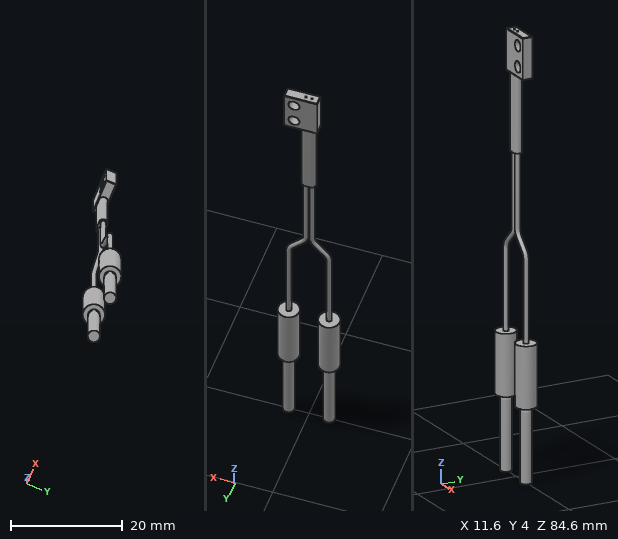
import cadquery as cq
import math

total_length = 84.6
total_width = 11.64

block_width = 6.3
block_depth = 2.0
block_height = 8.0
block_left = -1.9
block_edge = 0.1
hole_diameter = 2.1
hole_spacing = 4.0
hole_x = 2.5

conductor_diameter = 0.25
conductor_recess = 0.5

sleeve_length = 15.0
sleeve_depth = 1.6

wire_diameter = 1.0
wire_spacing = 1.2
pair_length = 14.35
bend_radius = 2.2
bend_angle = math.radians(45)

plug_body_diameter = 4.0
plug_body_length = 12.0
neck_diameter = 2.1
neck_length = 0.6
pin_diameter = 2.2
pin_length = 13.9
shoulder_height = 0.2
overlap = 0.5

plug_x = (total_width - plug_body_diameter) / 2
wire_x = wire_spacing / 2
top_z = total_length / 2
block_bottom_z = top_z - block_height
sleeve_bottom_z = block_bottom_z - sleeve_length
bend_start_z = sleeve_bottom_z - pair_length
pin_bottom_z = -total_length / 2
neck_bottom_z = pin_bottom_z + pin_length
body_bottom_z = neck_bottom_z + neck_length
body_top_z = body_bottom_z + plug_body_length


def make_block():
    """Sensor block with its two cross holes and the conductor holes in its top face."""
    block = cq.Workplane("XY", origin=(block_left, 0, block_bottom_z)).box(
        block_width, block_depth, block_height, centered=(False, True, False)
    )
    block = block.edges("#Z").chamfer(block_edge)
    holes = (
        cq.Workplane("XZ", origin=(hole_x, 0, top_z - block_height / 2))
        .rarray(1, hole_spacing, 1, 2)
        .circle(hole_diameter / 2)
        .extrude(block_depth, both=True)
    )
    conductors = (
        cq.Workplane("XY", origin=(0, 0, top_z))
        .rarray(wire_spacing, 1, 2, 1)
        .circle(conductor_diameter / 2)
        .extrude(-conductor_recess)
    )
    return block.cut(holes).cut(conductors)


def make_sleeve():
    """Flat sleeve with rounded sides, hanging below the block."""
    return (
        cq.Workplane("XY", origin=(0, 0, sleeve_bottom_z))
        .slot2D(wire_spacing + sleeve_depth, sleeve_depth)
        .extrude(sleeve_length)
    )


def make_wire(side):
    """Wire from inside the sleeve, through an outward S-bend, into the plug body."""
    bend_out = bend_radius * (1 - math.cos(bend_angle))
    bend_drop = bend_radius * math.sin(bend_angle)
    half_out = bend_radius * (1 - math.cos(bend_angle / 2))
    half_drop = bend_radius * math.sin(bend_angle / 2)
    slant_drop = (plug_x - wire_x - 2 * bend_out) / math.tan(bend_angle)
    bend_end_z = bend_start_z - 2 * bend_drop - slant_drop
    start_z = sleeve_bottom_z + overlap

    path = (
        cq.Workplane("XZ")
        .moveTo(side * wire_x, start_z)
        .lineTo(side * wire_x, bend_start_z)
        .threePointArc(
            (side * (wire_x + half_out), bend_start_z - half_drop),
            (side * (wire_x + bend_out), bend_start_z - bend_drop),
        )
        .lineTo(side * (plug_x - bend_out), bend_end_z + bend_drop)
        .threePointArc(
            (side * (plug_x - half_out), bend_end_z + half_drop),
            (side * plug_x, bend_end_z),
        )
        .lineTo(side * plug_x, body_top_z - overlap)
    )
    profile = cq.Workplane("XY", origin=(side * wire_x, 0, start_z)).circle(wire_diameter / 2)
    return profile.sweep(path)


def make_plug(side):
    """Pin, tapered shoulder, neck and body turned about the vertical axis of one plug."""
    profile = (
        cq.Workplane("XZ", origin=(side * plug_x, 0, 0))
        .moveTo(0, pin_bottom_z)
        .lineTo(-pin_diameter / 2, pin_bottom_z)
        .lineTo(-pin_diameter / 2, neck_bottom_z - shoulder_height)
        .lineTo(-neck_diameter / 2, neck_bottom_z)
        .lineTo(-neck_diameter / 2, body_bottom_z)
        .lineTo(-plug_body_diameter / 2, body_bottom_z)
        .lineTo(-plug_body_diameter / 2, body_top_z)
        .lineTo(0, body_top_z)
        .close()
    )
    return profile.revolve(360, (0, 0, 0), (0, 1, 0))


result = make_block().union(make_sleeve())
for side in (-1, 1):
    result = result.union(make_wire(side)).union(make_plug(side))